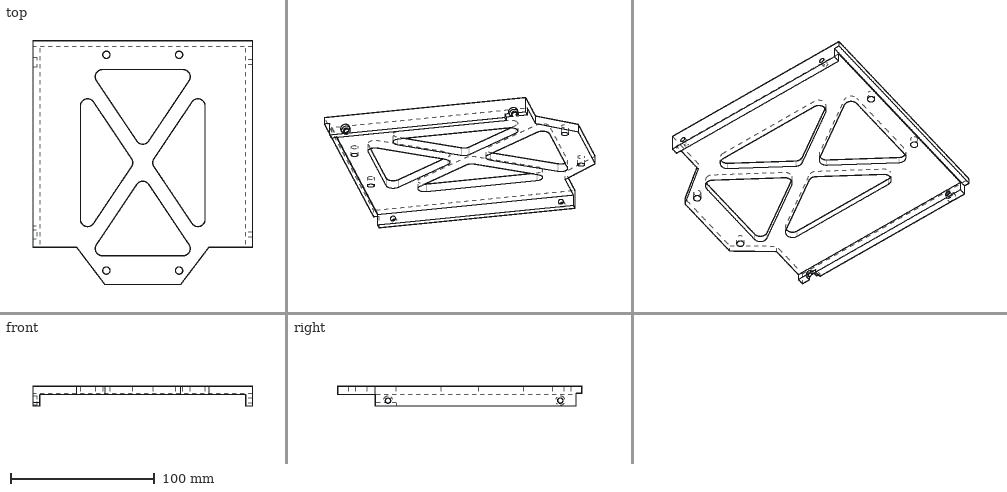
import cadquery as cq
import math

width = 153.2
length = 170.0
height = 14.0
plate_thickness = 6.0
plate_bottom = height - plate_thickness

body_length = 144.0
tongue_root_width = 92.1
tongue_tip_width = 52.7
back_y = length / 2
front_y = -length / 2
shoulder_y = back_y - body_length

rail_thickness = 5.0
step_length = 3.9
step_lip_thickness = 5.0

window_width = 86.7
window_length = 129.5
bar_width = 10.0
window_corner_radius = 5.0

mount_hole_diameter = 5.0
mount_hole_spacing_x = 50.7
mount_hole_spacing_y = 150.3

cross_hole_z = 3.9
back_hole_y = back_y - 15.0
front_hole_y = back_y - 135.0
cross_hole_diameter = 3.5
counterbore_diameter = 6.5
counterbore_depth = 3.0

notch_length = 15.0
notch_height = 2.7


def make_plate():
    """Rectangular plate with a tapered tongue at the front."""
    outline = [
        (-width / 2, back_y),
        (-width / 2, shoulder_y),
        (-tongue_root_width / 2, shoulder_y),
        (-tongue_tip_width / 2, front_y),
        (tongue_tip_width / 2, front_y),
        (tongue_root_width / 2, shoulder_y),
        (width / 2, shoulder_y),
        (width / 2, back_y),
    ]
    return cq.Workplane("XY").workplane(offset=plate_bottom).polyline(outline).close().extrude(plate_thickness)


def make_rail(side):
    """Full-height rail along one long side; side is -1 for -X and +1 for +X."""
    return (
        cq.Workplane("XY")
        .box(rail_thickness, body_length, height, centered=(True, False, False))
        .translate((side * (width - rail_thickness) / 2, shoulder_y, 0))
    )


def make_back_step():
    """Material removed below the lip of the back edge."""
    return (
        cq.Workplane("XY")
        .box(width, step_length, height - step_lip_thickness, centered=(True, False, False))
        .translate((0, back_y - step_length, 0))
    )


def make_opening(points):
    """Triangular opening through the plate with rounded corners."""
    return cq.Workplane("XY").polyline(points).close().extrude(height).edges("|Z").fillet(window_corner_radius)


def make_windows():
    """Four triangles left between two bars on the window's diagonals."""
    half_x = window_width / 2
    half_y = window_length / 2
    diagonal = math.hypot(half_x, half_y)
    apex_y = bar_width / 2 * diagonal / half_x
    apex_x = bar_width / 2 * diagonal / half_y
    base_x = half_x - apex_x
    base_y = half_y - apex_y
    windows = cq.Workplane("XY")
    for side in (-1, 1):
        end_triangle = [(0, side * apex_y), (-base_x, side * half_y), (base_x, side * half_y)]
        side_triangle = [(side * apex_x, 0), (side * half_x, -base_y), (side * half_x, base_y)]
        windows = windows.add(make_opening(end_triangle)).add(make_opening(side_triangle))
    return windows.combine()


def make_mount_holes():
    """Four vertical holes around the window."""
    return (
        cq.Workplane("XY")
        .rarray(mount_hole_spacing_x, mount_hole_spacing_y, 2, 2)
        .circle(mount_hole_diameter / 2)
        .extrude(height)
    )


def make_cross_hole(y):
    """Hole along X through both rails, counterbored from the outside of the -X rail."""
    outer_face = cq.Workplane("YZ").workplane(offset=-width / 2).center(y, cross_hole_z)
    hole = outer_face.circle(cross_hole_diameter / 2).extrude(width)
    counterbore = outer_face.circle(counterbore_diameter / 2).extrude(counterbore_depth)
    return hole.union(counterbore)


def make_front_notch():
    """Shallow notch under the front end of the -X rail."""
    return (
        cq.Workplane("XY")
        .box(rail_thickness, notch_length, notch_height, centered=False)
        .translate((-width / 2, shoulder_y, 0))
    )


result = make_plate().union(make_rail(-1)).union(make_rail(1))
result = result.cut(make_back_step()).cut(make_windows()).cut(make_mount_holes())

result = result.cut(make_front_notch())
for hole_y in (back_hole_y, front_hole_y):
    result = result.cut(make_cross_hole(hole_y))